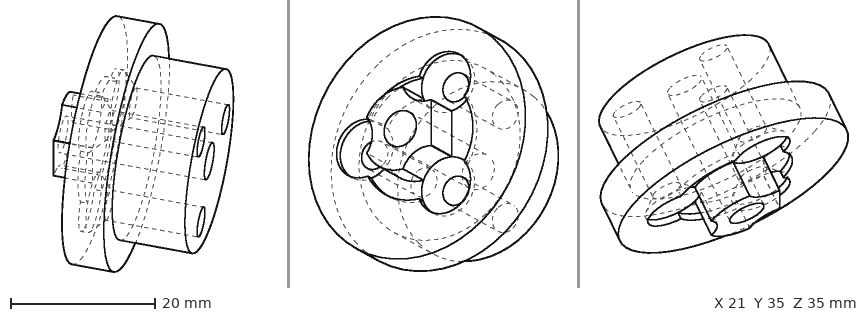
import cadquery as cq
import math

total_length = 21.0
hub_height = 4.55
flange_thickness = 6.02
recess_depth = 1.0

flange_diameter = 35.0
body_diameter = 26.0
recess_diameter = 18.0
hub_diameter = 12.0
bore_diameter = 5.2
hub_flat_offset = 5.0

hole_count = 3
hole_circle_radius = 8.75
hole_diameter = 4.2
head_diameter = 8.5
countersink_angle = 90.0

flange_front = hub_height
flange_back = flange_front + flange_thickness
recess_floor = flange_front + recess_depth
countersink_depth = (head_diameter - hole_diameter) / 2 / math.tan(math.radians(countersink_angle / 2))


def cylinder(diameter, start, end, y=0.0, z=0.0):
    """Cylinder parallel to X between two axial positions."""
    return cq.Workplane("YZ", origin=(start, y, z)).circle(diameter / 2).extrude(end - start)


def hub():
    """Round hub with one flat, standing on the recess floor."""
    width = hub_diameter / 2 + hub_flat_offset
    keep = cq.Workplane("XY").box(recess_floor, width, hub_diameter, centered=(False, False, True))
    return cylinder(hub_diameter, 0, recess_floor).intersect(keep.translate((0, -hub_flat_offset, 0)))


def screw_hole(angle):
    """Through hole, cone below the recess floor and head clearance out past the hub tip."""
    y = hole_circle_radius * math.cos(math.radians(angle))
    z = hole_circle_radius * math.sin(math.radians(angle))
    cone = cq.Solid.makeCone(
        head_diameter / 2,
        hole_diameter / 2,
        countersink_depth,
        pnt=cq.Vector(recess_floor, y, z),
        dir=cq.Vector(1, 0, 0),
    )
    through = cylinder(hole_diameter, 0, total_length, y, z)
    clearance = cylinder(head_diameter, 0, recess_floor, y, z)
    return through.union(clearance).union(cq.Workplane(cone))


result = cylinder(flange_diameter, flange_front, flange_back)
result = result.union(cylinder(body_diameter, flange_back, total_length))
result = result.cut(cylinder(recess_diameter, flange_front, recess_floor))
result = result.union(hub())

result = result.cut(cylinder(bore_diameter, 0, total_length))
for index in range(hole_count):
    result = result.cut(screw_hole(index * 360 / hole_count))